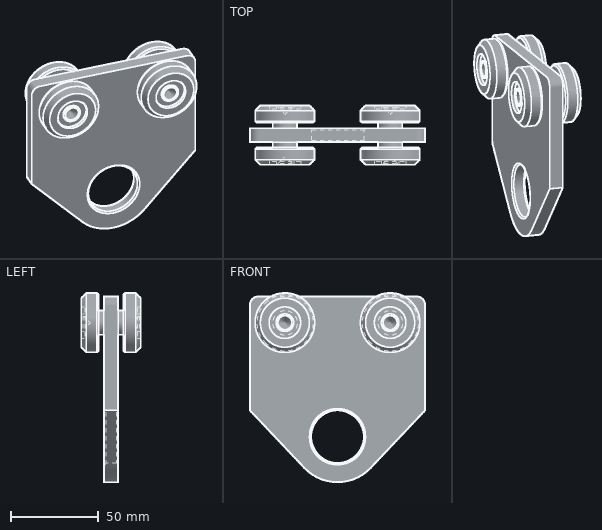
import cadquery as cq
import math


plate_width = 100.0
plate_thickness = 8.0
plate_top_z = 15.0
shoulder_z = -50.0
corner_radius = 5.0
eye_z = -65.0
eye_diameter = 30.0
eye_chamfer = 1.0
nose_radius = 26.0

roller_spacing = 60.0
roller_diameter = 34.0
roller_width = 10.0
outer_chamfer = 3.0
inner_chamfer = 1.0
spacer_diameter = 14.0
spacer_length = 3.0
recess_diameter = 18.0
recess_depth = 2.0
stud_diameter = 10.0
stud_height = 1.0
cone_diameter = 8.0
cone_depth = cone_diameter / 2


def make_plate():
    half_width = plate_width / 2
    rise = shoulder_z - eye_z
    corner_distance = math.hypot(half_width, rise)
    tangent_angle = math.atan2(rise, half_width) - math.acos(nose_radius / corner_distance)
    tangent_x = nose_radius * math.cos(tangent_angle)
    tangent_z = eye_z + nose_radius * math.sin(tangent_angle)

    blank = (
        cq.Workplane("XZ")
        .moveTo(-half_width, plate_top_z)
        .lineTo(half_width, plate_top_z)
        .lineTo(half_width, shoulder_z)
        .lineTo(tangent_x, tangent_z)
        .threePointArc((0, eye_z - nose_radius), (-tangent_x, tangent_z))
        .lineTo(-half_width, shoulder_z)
        .close()
        .extrude(plate_thickness / 2, both=True)
        .edges("|Y and >Z")
        .fillet(corner_radius)
    )
    eye = (
        cq.Workplane("XZ")
        .center(0, eye_z)
        .circle(eye_diameter / 2)
        .extrude(plate_thickness / 2, both=True)
    )
    flare_radius = eye_diameter / 2 + eye_chamfer
    for side in (-1, 1):
        flare = cq.Solid.makeCone(
            flare_radius,
            eye_diameter / 2,
            eye_chamfer,
            pnt=cq.Vector(0, side * plate_thickness / 2, eye_z),
            dir=cq.Vector(0, -side, 0),
        )
        eye = eye.union(cq.Workplane(flare))
    return blank.cut(eye)


def make_roller(x, side):
    """Roller with its spacer collar and stud; side is -1 or 1 along Y."""
    radius = roller_diameter / 2
    plate_face = plate_thickness / 2
    inner_face = plate_face + spacer_length
    outer_face = inner_face + roller_width
    recess_floor = outer_face - recess_depth
    stud_end = recess_floor + stud_height

    section = [
        (0, plate_face),
        (spacer_diameter / 2, plate_face),
        (spacer_diameter / 2, inner_face),
        (radius - inner_chamfer, inner_face),
        (radius, inner_face + inner_chamfer),
        (radius, outer_face - outer_chamfer),
        (radius - outer_chamfer, outer_face),
        (recess_diameter / 2, outer_face),
        (recess_diameter / 2, recess_floor),
        (stud_diameter / 2, recess_floor),
        (stud_diameter / 2, stud_end),
        (cone_diameter / 2, stud_end),
        (0, stud_end - cone_depth),
    ]
    return (
        cq.Workplane("XY")
        .polyline([(r, side * y) for r, y in section])
        .close()
        .revolve(360, (0, 0), (0, 1))
        .translate((x, 0, 0))
    )


plate = make_plate()
rollers = [
    make_roller(x, side)
    for x in (-roller_spacing / 2, roller_spacing / 2)
    for side in (-1, 1)
]

result = cq.Compound.makeCompound([plate.val(), *[roller.val() for roller in rollers]])